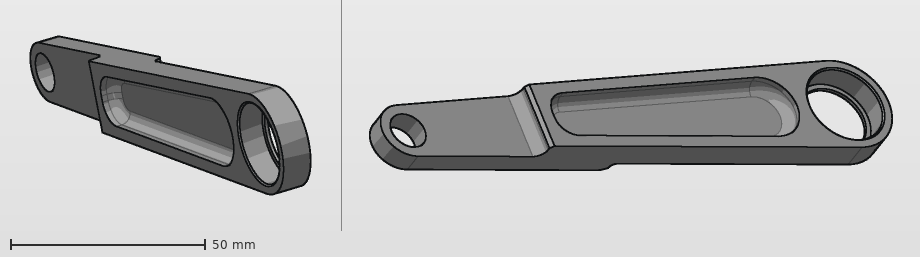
import cadquery as cq
import math

span_x = 123.8
span_z = 50.9
small_end_radius = 8.0
big_end_radius = 13.5
small_hole_radius = 5.16

total_thickness = 11.0
big_end_thickness = 8.0
front_step_height = 4.87

front_wall_position = 38.1
front_step_fillet = 3.0
front_step_chamfer = 1.0
back_wall_position = 60.9
back_step_fillet = 1.96
back_step_chamfer_run = 2.0
back_step_chamfer_drop = 1.0

bearing_radius = 10.9
seat_entry_radius = 11.3
lip_hole_radius = 9.52
seat_depth = 7.0

pocket_margin = 3.3
pocket_start = 42.7
pocket_end_centre = 109.6
pocket_corner_radius = 5.8
pocket_depth = 4.5
pocket_floor_fillet = 2.9

arm_length = math.hypot(span_x, span_z)
arm_angle = math.degrees(math.atan2(span_z, span_x))
taper_sine = (big_end_radius - small_end_radius) / arm_length
taper_cosine = math.sqrt(1 - taper_sine**2)


def side_point(u, radius, side):
    """Point where a tapered side touches a circle centred at u on the arm axis."""
    return (u - radius * taper_sine, side * radius * taper_cosine)


def radius_at(u):
    """Radius of the circle centred at u that touches both sides of the arm."""
    return small_end_radius + u * taper_sine


def disc(u, radius, depth):
    """Cylinder across the arm, running back from the front face."""
    return cq.Workplane("XZ", origin=(u, 0, 0)).circle(radius).extrude(-depth)


def arm_blank():
    return (
        cq.Workplane("XZ")
        .moveTo(*side_point(0, small_end_radius, -1))
        .lineTo(*side_point(arm_length, big_end_radius, -1))
        .threePointArc(
            (arm_length + big_end_radius, 0),
            side_point(arm_length, big_end_radius, 1),
        )
        .lineTo(*side_point(0, small_end_radius, 1))
        .threePointArc((-small_end_radius, 0), side_point(0, small_end_radius, -1))
        .close()
        .extrude(-total_thickness)
    )


def step_cutter(wall, direction, height, fillet, chamfer_run, chamfer_drop, face_y, inward):
    """Clear one face of the arm from a wall outward, leaving a filleted, chamfered step."""

    def point(distance, depth):
        return (wall + direction * distance, face_y + inward * depth)

    mid_arc = fillet * (1 - math.sqrt(0.5))
    return (
        cq.Workplane("XY")
        .moveTo(*point(-chamfer_run, 0))
        .lineTo(*point(0, chamfer_drop))
        .lineTo(*point(0, height - fillet))
        .threePointArc(point(mid_arc, height - mid_arc), point(fillet, height))
        .lineTo(*point(arm_length, height))
        .lineTo(*point(arm_length, 0))
        .close()
        .extrude(big_end_radius * 2, both=True)
    )


def bearing_bore():
    seat = disc(arm_length, bearing_radius, seat_depth)
    lip_hole = disc(arm_length, lip_hole_radius, total_thickness)
    entry_chamfer = (
        cq.Workplane("XZ", origin=(arm_length, 0, 0))
        .circle(seat_entry_radius)
        .workplane(offset=bearing_radius - seat_entry_radius)
        .circle(bearing_radius)
        .loft()
    )
    return seat.union(lip_hole).union(entry_chamfer)


def pocket():
    start_half_width = (radius_at(pocket_start) - pocket_margin) / taper_cosine
    end_radius = radius_at(pocket_end_centre) - pocket_margin
    wedge = (
        cq.Workplane("XZ")
        .polyline(
            [
                (pocket_start, -start_half_width),
                side_point(pocket_end_centre, end_radius, -1),
                side_point(pocket_end_centre, end_radius, 1),
                (pocket_start, start_half_width),
            ]
        )
        .close()
        .extrude(-pocket_depth)
        .edges("|Y and <X")
        .fillet(pocket_corner_radius)
    )
    return (
        wedge.union(disc(pocket_end_centre, end_radius, pocket_depth))
        .faces(">Y")
        .edges()
        .fillet(pocket_floor_fillet)
    )


front_step = step_cutter(
    front_wall_position,
    -1,
    front_step_height,
    front_step_fillet,
    front_step_chamfer,
    front_step_chamfer,
    0,
    1,
)
back_step = step_cutter(
    back_wall_position,
    1,
    total_thickness - big_end_thickness,
    back_step_fillet,
    back_step_chamfer_run,
    back_step_chamfer_drop,
    total_thickness,
    -1,
)

level_arm = (
    arm_blank()
    .cut(front_step)
    .cut(back_step)
    .cut(disc(0, small_hole_radius, total_thickness))
    .cut(bearing_bore())
    .cut(pocket())
)
result = level_arm.rotate((0, 0, 0), (0, 1, 0), -arm_angle)